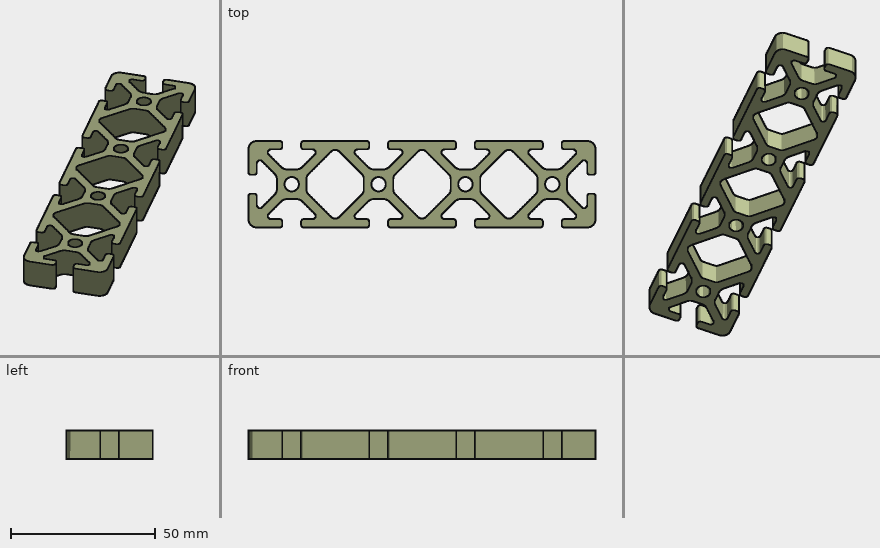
import cadquery as cq
import math

CELL = 30.0
CELL_COUNT = 4
THICKNESS = 10.0
OUTER_CORNER_RADIUS = 3.0

HUB_HALF_WIDTH = 5.15
ARM_THICKNESS = 3.3
BORE_DIAMETER = 4.9

SLOT_OPENING = 6.4
LIP_THICKNESS = 3.0
LIP_RADIUS = 1.0
SLOT_TIP_RADIUS = 1.0
SLOT_FLOOR_RADIUS = 3.0

CAVITY_RADIUS = 2.0

HALF_CELL = CELL / 2
LENGTH = CELL * CELL_COUNT
ARM_OFFSET = ARM_THICKNESS / math.sqrt(2)
HUB_FLAT_HALF = HUB_HALF_WIDTH - ARM_OFFSET
CELL_CENTRES = [(i - (CELL_COUNT - 1) / 2) * CELL for i in range(CELL_COUNT)]


def make_blank():
    blank = cq.Workplane("XY").box(LENGTH, CELL, THICKNESS, centered=(True, True, False))
    return blank.edges("|Z").fillet(OUTER_CORNER_RADIUS)


def fillet_at(body, points, radius):
    """Round the vertical edges that pass through the given (x, y) points."""
    for x, y in points:
        selector = cq.selectors.NearestToPointSelector((x, y, THICKNESS / 2))
        body = body.edges("|Z").edges(selector).fillet(radius)
    return body


def make_slot():
    """T-slot void for a cell centred on the origin, opening toward +Y."""
    under_lip = HALF_CELL - LIP_THICKNESS
    tip_x = under_lip - ARM_OFFSET
    pocket = cq.Workplane("XY").polyline([
        (-HUB_FLAT_HALF, HUB_HALF_WIDTH),
        (HUB_FLAT_HALF, HUB_HALF_WIDTH),
        (tip_x, under_lip),
        (-tip_x, under_lip),
    ]).close().extrude(THICKNESS)
    sides = (-1, 1)
    pocket = fillet_at(pocket, [(s * HUB_FLAT_HALF, HUB_HALF_WIDTH) for s in sides], SLOT_FLOOR_RADIUS)
    pocket = fillet_at(pocket, [(s * tip_x, under_lip) for s in sides], SLOT_TIP_RADIUS)

    half_mouth = SLOT_OPENING / 2
    flare = half_mouth + LIP_RADIUS
    mouth = (
        cq.Workplane("XY")
        .moveTo(-flare, under_lip)
        .lineTo(flare, under_lip)
        .radiusArc((half_mouth, under_lip + LIP_RADIUS), LIP_RADIUS)
        .lineTo(half_mouth, HALF_CELL - LIP_RADIUS)
        .radiusArc((flare, HALF_CELL), LIP_RADIUS)
        .lineTo(-flare, HALF_CELL)
        .radiusArc((-half_mouth, HALF_CELL - LIP_RADIUS), LIP_RADIUS)
        .lineTo(-half_mouth, under_lip + LIP_RADIUS)
        .radiusArc((-flare, under_lip), LIP_RADIUS)
        .close()
        .extrude(THICKNESS)
    )
    return pocket.union(mouth)


def make_cavity():
    """Six-sided void centred on the origin, between two neighbouring hubs."""
    wall_x = HALF_CELL - HUB_HALF_WIDTH
    apex_y = HALF_CELL - ARM_OFFSET
    cavity = cq.Workplane("XY").polyline([
        (wall_x, -HUB_FLAT_HALF),
        (wall_x, HUB_FLAT_HALF),
        (0, apex_y),
        (-wall_x, HUB_FLAT_HALF),
        (-wall_x, -HUB_FLAT_HALF),
        (0, -apex_y),
    ]).close().extrude(THICKNESS)
    return cavity.edges("|Z").fillet(CAVITY_RADIUS)


def cut_slots(body):
    slot = make_slot()
    placements = [(x, angle) for x in CELL_CENTRES for angle in (0, 180)]
    placements += [(CELL_CENTRES[0], 90), (CELL_CENTRES[-1], -90)]
    for x, angle in placements:
        body = body.cut(slot.rotate((0, 0, 0), (0, 0, 1), angle).translate((x, 0, 0)))
    return body


def cut_cavities(body):
    cavity = make_cavity()
    for x in CELL_CENTRES[:-1]:
        body = body.cut(cavity.translate((x + HALF_CELL, 0, 0)))
    return body


def cut_bores(body):
    bores = (
        cq.Workplane("XY")
        .pushPoints([(x, 0) for x in CELL_CENTRES])
        .circle(BORE_DIAMETER / 2)
        .extrude(THICKNESS)
    )
    return body.cut(bores)


result = cut_bores(cut_cavities(cut_slots(make_blank())))